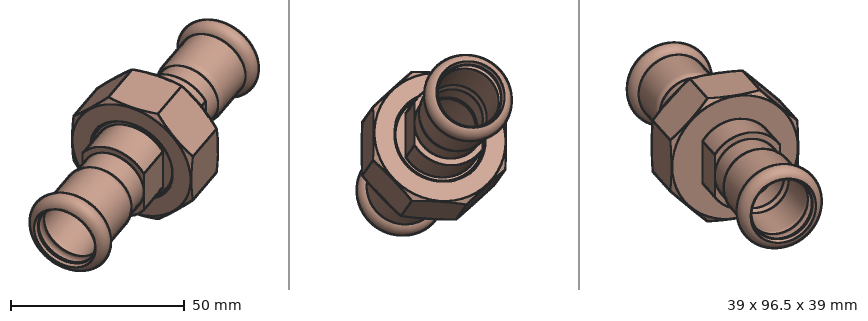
import cadquery as cq
import math

total_length = 96.5
half_length = total_length / 2

bead_diameter = 25.8
bead_width = 6.6
mouth_diameter = 20.1
sleeve_diameter = 21.3
neck_diameter = 20.0
sleeve_end = 19.9
taper_end = 21.9
taper_bulge = 0.14

bore_diameter = 16.0
neck_bore_diameter = 17.0
neck_bore_depth = 29.4
socket_diameter = 18.3
lip_diameter = 18.7
lip_start = 1.1
groove_diameter = 23.7
groove_start = 1.6
groove_end = 4.8
lead_in_end = 6.2

collar_diameter = 24.0
collar_half_length = half_length - neck_bore_depth
flat_width = neck_diameter

nut_width = 39.0
nut_front = -7.7
nut_back = 8.8
nut_sides = 8
chamfer_circle = 38.6
chamfer_angle = 30.0
recess_diameter = 26.9
recess_depth = 1.9
shoulder_diameter = 26.1
shoulder_setback = 0.5


def pipe_end():
    """Solid pipe from the -Y end face to the origin, with its rolled bead."""
    sleeve_radius = sleeve_diameter / 2
    neck_radius = neck_diameter / 2
    end = -half_length
    return (
        cq.Workplane("XY")
        .moveTo(0, end)
        .lineTo(mouth_diameter / 2, end)
        .threePointArc((bead_diameter / 2, end + bead_width / 2), (sleeve_radius, end + bead_width))
        .lineTo(sleeve_radius, end + sleeve_end)
        .threePointArc(
            (sleeve_radius - taper_bulge, end + (sleeve_end + taper_end) / 2),
            (neck_radius, end + taper_end),
        )
        .lineTo(neck_radius, 0)
        .lineTo(0, 0)
        .close()
        .revolve(360, (0, 0, 0), (0, 1, 0))
    )


def cylinder(diameter, start, end):
    """Cylinder about the Y axis between two Y positions."""
    return cq.Workplane("XZ", origin=(0, start, 0)).circle(diameter / 2).extrude(start - end)


def end_bore():
    """Tapered mouth, rounded seal groove, socket and neck bore of the -Y end."""
    end = -half_length
    lip_radius = lip_diameter / 2
    groove_middle = (groove_start + groove_end) / 2
    return (
        cq.Workplane("XY")
        .moveTo(0, end)
        .lineTo(mouth_diameter / 2, end)
        .lineTo(lip_radius, end + lip_start)
        .lineTo(lip_radius, end + groove_start)
        .threePointArc((groove_diameter / 2, end + groove_middle), (lip_radius, end + groove_end))
        .lineTo(socket_diameter / 2, end + lead_in_end)
        .lineTo(socket_diameter / 2, end + sleeve_end)
        .lineTo(neck_bore_diameter / 2, end + taper_end)
        .lineTo(neck_bore_diameter / 2, end + neck_bore_depth)
        .lineTo(0, end + neck_bore_depth)
        .close()
        .revolve(360, (0, 0, 0), (0, 1, 0))
    )


def both_ends(half):
    """Join a -Y half with its mirror image."""
    return half.union(half.mirror("XZ"))


def collar():
    """Round bar carrying both collars, flattened on its +X and -X sides."""
    flats = cq.Workplane("XY").box(flat_width, 2 * collar_half_length, collar_diameter)
    return cylinder(collar_diameter, -collar_half_length, collar_half_length).intersect(flats)


def nut():
    """Octagon with chamfered corners and a recess around the -Y collar."""
    corner_diameter = nut_width / math.cos(math.pi / nut_sides)
    body = (
        cq.Workplane("XZ", origin=(0, nut_front, 0))
        .transformed(rotate=(0, 0, 180 / nut_sides))
        .polygon(nut_sides, corner_diameter)
        .extrude(nut_front - nut_back)
    )
    corner_radius = corner_diameter / 2
    face_radius = chamfer_circle / 2
    chamfer_depth = (corner_radius - face_radius) * math.tan(math.radians(chamfer_angle))
    envelope = (
        cq.Workplane("XY")
        .polyline([
            (0, nut_front),
            (face_radius, nut_front),
            (corner_radius, nut_front + chamfer_depth),
            (corner_radius, nut_back - chamfer_depth),
            (face_radius, nut_back),
            (0, nut_back),
        ])
        .close()
        .revolve(360, (0, 0, 0), (0, 1, 0))
    )
    recess = cylinder(recess_diameter, nut_front, nut_front + recess_depth)
    shoulder = cylinder(shoulder_diameter, nut_front + shoulder_setback, nut_front + recess_depth)
    return body.intersect(envelope).cut(recess.cut(shoulder))


result = (
    nut()
    .union(collar())
    .union(both_ends(pipe_end()))
    .cut(both_ends(end_bore()))
    .cut(cylinder(bore_diameter, -half_length, half_length))
)